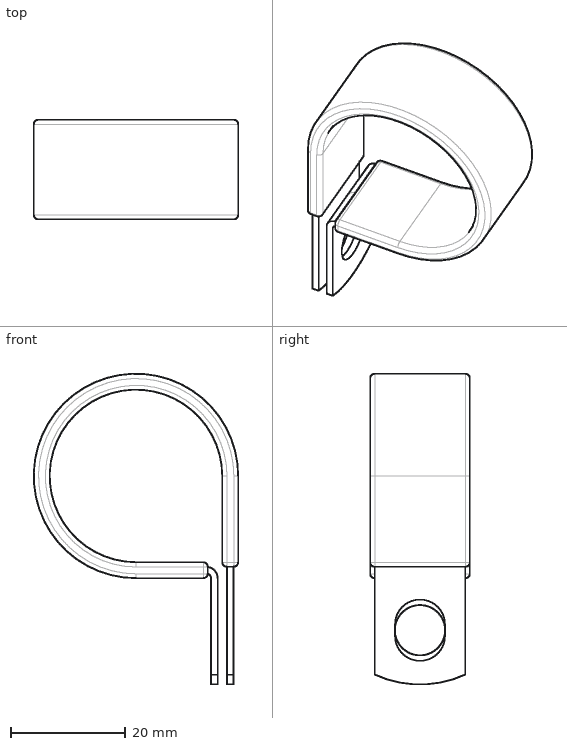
import cadquery as cq
import math

overall_height = 54.3
loop_radius = 17.85
strap_thickness = 1.2
cover = 0.8
strap_width = 15.8
inner_bend_radius = 0.8
bent_tab_x = 14.3
lower_leg_end = 12.55
side_leg_end = -15.85
hole_diameter = 8.75
slot_height = 10.7
hole_to_tip = 9.5
tip_rise = 1.75

cushion_thickness = strap_thickness + 2 * cover
cushion_width = strap_width + 2 * cover
strap_radius = loop_radius - cover
tip_z = loop_radius - overall_height
hole_z = tip_z + hole_to_tip
bend_radius = inner_bend_radius + strap_thickness
bend_start_x = bent_tab_x - bend_radius
half_width = strap_width / 2


def loop_band(outer_radius, thickness, width, lower_end_x):
    """Three-quarter loop with a horizontal leg and a vertical leg."""
    inner_radius = outer_radius - thickness
    diagonal = math.sqrt(0.5)
    return (
        cq.Workplane("XZ")
        .moveTo(lower_end_x, -outer_radius)
        .lineTo(0, -outer_radius)
        .threePointArc((-outer_radius * diagonal, outer_radius * diagonal), (outer_radius, 0))
        .lineTo(outer_radius, side_leg_end)
        .lineTo(inner_radius, side_leg_end)
        .lineTo(inner_radius, 0)
        .threePointArc((-inner_radius * diagonal, inner_radius * diagonal), (0, -inner_radius))
        .lineTo(lower_end_x, -inner_radius)
        .close()
        .extrude(width / 2, both=True)
    )


def rounded_cushion():
    """Cushion band with its long edges and both ends rounded."""
    band = loop_band(loop_radius, cushion_thickness, cushion_width, lower_leg_end)
    rims = band.faces("<Y or >Y").edges()
    lower_end = band.faces(cq.selectors.NearestToPointSelector(
        (lower_leg_end, 0, cushion_thickness / 2 - loop_radius))).edges()
    side_end = band.faces(cq.selectors.NearestToPointSelector(
        (loop_radius - cushion_thickness / 2, 0, side_leg_end))).edges()
    return rims.add(lower_end).add(side_end).fillet(cover)


def tab_sketch_plane(outer_x):
    """Plane on the inner face of a tab, with its sketch X along Y."""
    return cq.Workplane("YZ", origin=(outer_x - strap_thickness, 0, 0))


def tab(outer_x, top_z):
    """Flat strap tab with a curved tip."""
    return (
        tab_sketch_plane(outer_x)
        .moveTo(-half_width, top_z)
        .lineTo(-half_width, tip_z + tip_rise)
        .threePointArc((0, tip_z), (half_width, tip_z + tip_rise))
        .lineTo(half_width, top_z)
        .close()
        .extrude(strap_thickness)
    )


def round_hole(outer_x):
    """Bolt hole through the bent tab."""
    return (
        tab_sketch_plane(outer_x)
        .center(0, hole_z)
        .circle(hole_diameter / 2)
        .extrude(strap_thickness)
    )


def upright_slot(outer_x):
    """Bolt slot through the outer tab, which allows for adjustment in height."""
    return (
        tab_sketch_plane(outer_x)
        .center(0, hole_z)
        .slot2D(slot_height, hole_diameter, 90)
        .extrude(strap_thickness)
    )


def strap_bend(top_z):
    """Quarter-round bend from the horizontal leg down to its tab."""
    center_z = top_z - bend_radius
    sector = (
        cq.Workplane("XZ", origin=(bend_start_x, 0, center_z))
        .rect(bend_radius, bend_radius, centered=False)
        .extrude(half_width, both=True)
    )
    ring = (
        cq.Workplane("XZ", origin=(bend_start_x, 0, center_z))
        .circle(bend_radius)
        .circle(inner_bend_radius)
        .extrude(half_width, both=True)
    )
    return ring.intersect(sector)


strap_top_z = strap_thickness - strap_radius
strap = (
    loop_band(strap_radius, strap_thickness, strap_width, bend_start_x)
    .union(strap_bend(strap_top_z))
    .union(tab(bent_tab_x, strap_top_z - bend_radius))
    .union(tab(strap_radius, side_leg_end))
    .cut(round_hole(bent_tab_x))
    .cut(upright_slot(strap_radius))
)
result = rounded_cushion().union(strap)